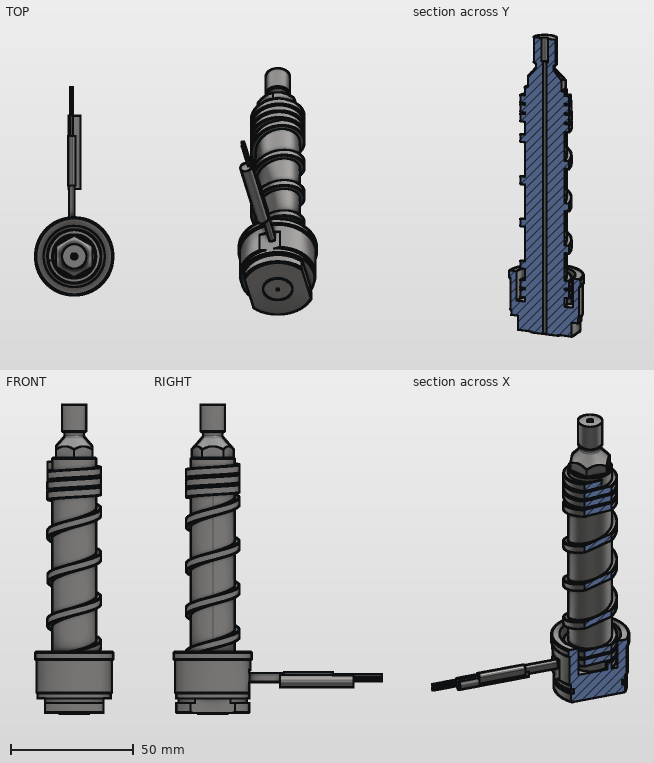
import cadquery as cq
import math

total_height = 126.2
boss_height = 0.4
foot_top = 4.6
foot_neck_top = 6.4
disc_top = 8.4
flange_bottom = 22.0
base_top = 25.5
tube_top = 104.6
hex_cone_base = 107.9
neck_bottom = 113.2
tip_bottom = 115.0

boss_radius = 6.0
foot_radius = 15.0
foot_neck_radius = 14.0
disc_radius = 15.0
body_radius = 15.5
flange_radius = 16.0
tube_radius = 9.0
neck_radius = 4.0
tip_radius = 5.0

edge_chamfer = 0.5
neck_fillet = 1.0
tip_fillet = 0.4

foot_flat_distance = 12.0
body_flat_distance = 14.9
body_flat_top = 18.0

recess_radius = 12.5
recess_floor = 13.0

hex_across_flats = 15.0
hex_corner_radius = hex_across_flats / math.sqrt(3)

passage_radius = 0.6
inlet_radius = 1.25
inlet_depth = 10.0

coil_outer_radius = 11.0
coil_embedding = 0.3
coil_root_radius = tube_radius - coil_embedding
coil_height = 3.5
coil_chamfer = 0.3
coil_end_angle = 190.0
coil_end_center = 101.2
close_pitch = 4.0
wide_pitch = 18.0
upper_close_turns = 3.05
ramp_turns = 0.286
wide_turns = 3.34
lower_close_turns = 2.0
points_per_turn = 24

cable_x = -1.0
cable_z = 14.9
cable_width = 2.3
cable_height = 3.8
cable_corner = 0.75
jacket_thickness = 0.35
cable_start = 13.5
jacket_start = 29.0
jacket_length = 20.0
sleeve_start = 27.4
sleeve_length = 30.0
sleeve_radius = 2.5
sleeve_z = 13.45
sleeve_x = 0.15
wire_radius = 0.55
wire_spacing = 1.9
wire_x = -1.1
wire_end = 69.0


def cylinder(radius, bottom, top):
    return cq.Workplane("XY").workplane(offset=bottom).circle(radius).extrude(top - bottom)


def make_foot():
    foot = cylinder(foot_radius, boss_height, foot_top).faces("<Z").chamfer(edge_chamfer)
    foot = foot.union(cylinder(foot_neck_radius, foot_top, foot_neck_top))
    between_flats = cq.Workplane("XY").box(
        2 * foot_flat_distance, 2 * foot_radius, foot_neck_top, centered=(True, True, False)
    )
    return foot.intersect(between_flats).union(cylinder(boss_radius, 0, boss_height))


def make_base():
    body = cylinder(body_radius, disc_top, flange_bottom).faces("<Z").chamfer(edge_chamfer)
    body = body.union(cylinder(disc_radius, foot_neck_top, disc_top))
    flat_cut = (
        cq.Workplane("XY")
        .box(2 * body_radius, body_radius, body_flat_top, centered=(True, False, False))
        .translate((0, body_flat_distance, 0))
    )
    flange = cylinder(flange_radius, flange_bottom, base_top).edges().chamfer(edge_chamfer)
    base = body.cut(flat_cut).union(flange)
    return base.cut(cylinder(recess_radius, recess_floor, base_top))


def make_tube():
    tube = cylinder(tube_radius, recess_floor, tube_top)
    return tube.faces(">Z").chamfer(edge_chamfer)


def make_hex_nut():
    """Hexagon with corners on the Y axis, trimmed by the cone that rises to the neck."""
    prism = (
        cq.Workplane("XY")
        .workplane(offset=tube_top)
        .polygon(6, 2 * hex_corner_radius)
        .extrude(neck_bottom - tube_top)
        .rotate((0, 0, 0), (0, 0, 1), 90)
    )
    envelope = (
        cq.Workplane("XZ")
        .moveTo(0, tube_top)
        .lineTo(hex_corner_radius, tube_top)
        .lineTo(hex_corner_radius, hex_cone_base)
        .lineTo(neck_radius, neck_bottom)
        .lineTo(0, neck_bottom)
        .close()
        .revolve(360, (0, 0, 0), (0, 1, 0))
    )
    return prism.intersect(envelope)


def make_tip():
    tip = cylinder(tip_radius, tip_bottom, total_height).faces("<Z").chamfer(edge_chamfer)
    return tip.union(cylinder(neck_radius, neck_bottom, tip_bottom))


def neck_edge(height):
    """Selector for the circle where the neck ends at the given height."""
    margin = 0.1
    reach = neck_radius + margin
    return cq.selectors.BoxSelector(
        (-reach, -reach, height - margin), (reach, reach, height + margin), boundingbox=True
    )


def make_nozzle():
    nozzle = make_hex_nut().union(make_tip())
    nozzle = nozzle.edges(neck_edge(neck_bottom)).fillet(neck_fillet)
    return nozzle.edges(neck_edge(tip_bottom)).fillet(tip_fillet)


def coil_drop(turn):
    """Descent of the coil after a number of turns from its upper end.

    Each stage is (turns, pitch at its start, pitch at its end); the pitch varies linearly.
    """
    stages = (
        (upper_close_turns, close_pitch, close_pitch),
        (ramp_turns, close_pitch, wide_pitch),
        (wide_turns, wide_pitch, wide_pitch),
        (ramp_turns, wide_pitch, close_pitch),
        (lower_close_turns, close_pitch, close_pitch),
    )
    drop = 0.0
    remaining = turn
    for length, start_pitch, end_pitch in stages:
        part = min(max(remaining, 0.0), length)
        drop += start_pitch * part + (end_pitch - start_pitch) * part**2 / (2 * length)
        remaining -= length
    return drop


def coil_rail(radius, height_offset):
    """Helical edge of the coil at a radius and a height from the section's middle."""
    total_turns = upper_close_turns + wide_turns + lower_close_turns + 2 * ramp_turns
    count = math.ceil(total_turns * points_per_turn)
    points = []
    for index in range(count + 1):
        turn = total_turns * index / count
        angle = math.radians(coil_end_angle - 360 * turn)
        height = coil_end_center + height_offset - coil_drop(turn)
        points.append(cq.Vector(radius * math.cos(angle), radius * math.sin(angle), height))
    return cq.Edge.makeSpline(points)


def make_coil():
    half_height = coil_height / 2
    shoulder_radius = coil_outer_radius - coil_chamfer
    shoulder_height = half_height - coil_chamfer
    rails = [
        coil_rail(coil_root_radius, -half_height),
        coil_rail(shoulder_radius, -half_height),
        coil_rail(coil_outer_radius, -shoulder_height),
        coil_rail(coil_outer_radius, shoulder_height),
        coil_rail(shoulder_radius, half_height),
        coil_rail(coil_root_radius, half_height),
    ]
    faces = [cq.Face.makeRuledSurface(rails[i - 1], rails[i]) for i in range(len(rails))]
    for end in (0, 1):
        corners = [rail.positionAt(end) for rail in rails]
        faces.append(cq.Face.makeFromWires(cq.Wire.makePolygon(corners, close=True)))
    shell = cq.Shell.makeShell(faces)
    return cq.Workplane(obj=cq.Solid.makeSolid(shell).fix())


def rounded_bar(width, height, corner, start, length):
    """Rounded rectangular bar running along +Y on the cable's axis."""
    return (
        cq.Workplane("XY")
        .box(width, length, height, centered=(True, False, True))
        .edges("|Y")
        .fillet(corner)
        .translate((cable_x, start, cable_z))
    )


def rod_along_y(radius, x, z, start, length):
    return cq.Workplane(cq.Solid.makeCylinder(radius, length, cq.Vector(x, start, z), cq.Vector(0, 1, 0)))


def make_cable():
    jacket_end = jacket_start + jacket_length
    cable = rounded_bar(cable_width, cable_height, cable_corner, cable_start, jacket_end - cable_start)
    jacket = rounded_bar(
        cable_width + 2 * jacket_thickness,
        cable_height + 2 * jacket_thickness,
        cable_corner + jacket_thickness,
        jacket_start,
        jacket_length,
    )
    cable = cable.union(jacket)
    cable = cable.union(rod_along_y(sleeve_radius, sleeve_x, sleeve_z, sleeve_start, sleeve_length))
    wire_start = jacket_start + jacket_length / 2
    for side in (-1, 1):
        wire_z = cable_z + side * wire_spacing / 2
        cable = cable.union(rod_along_y(wire_radius, wire_x, wire_z, wire_start, wire_end - wire_start))
    return cable


def make_passage():
    inlet = cylinder(inlet_radius, total_height - inlet_depth, total_height)
    return cylinder(passage_radius, 0, total_height).union(inlet)


result = make_tube().union(make_coil())
for section in (make_foot(), make_base(), make_nozzle(), make_cable()):
    result = result.union(section)
result = result.cut(make_passage())